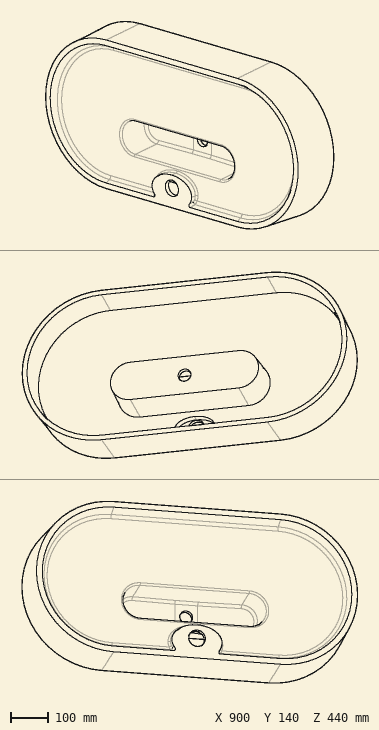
import cadquery as cq
import math

LENGTH = 900.0
HEIGHT = 440.0
DEPTH = 140.0
DRAFT = 3.0
WALL = 13.5
STRAIGHT = LENGTH - HEIGHT

RIM_WIDTH = 16.0
BASIN_WALL_ANGLE = 26.0
FLOOR_TILT = 2.0
FLOOR_DEPTH = 25.0
FLOOR_FILLET = 11.0

EDGE_FILLET = 5.0

WELL_Z = -56.0
WELL_STRAIGHT = 301.0
WELL_HEIGHT = 83.0
WELL_FLOOR_FILLET = 8.0
WELL_FLOOR_SLOPE = 1.8
WELL_FLAT_WIDTH = 63.0
DRAIN_DIAMETER = 35.0

BOSS_Z = -166.0
BOSS_HALF_WIDTH = 69.0
BOSS_HALF_HEIGHT = 47.0
TAP_Z = -157.0
TAP_DIAMETER = 46.0

RIM_INSET = DEPTH * math.tan(math.radians(DRAFT))
BASIN_HEIGHT = HEIGHT - 2 * (RIM_INSET + RIM_WIDTH)
MARGIN = 45.0


def plane_at(distance):
    """Upright plane at a distance in front of the back, facing the front."""
    return cq.Workplane("XZ").workplane(offset=distance)


def oval(distance, height, straight, z=0.0):
    """Oval outline on the plane at distance, with straight top and bottom sides."""
    return plane_at(distance).center(0, z).slot2D(straight + height, height)


def space_before_floor(shift):
    """Block in front of the tilted floor plane, moved back by shift."""
    block = plane_at(0).rect(2 * LENGTH, 2 * LENGTH).extrude(LENGTH)
    block = block.rotate((0, 0, 0), (1, 0, 0), -FLOOR_TILT)
    return block.translate((0, -DEPTH + FLOOR_DEPTH + shift, 0))


def tap_boss(distance, inset, length):
    """Elliptical boss running back from the plane at distance and widening with the draft."""
    return (
        plane_at(distance)
        .center(0, BOSS_Z)
        .ellipse(BOSS_HALF_WIDTH - inset, BOSS_HALF_HEIGHT - inset)
        .extrude(-length, taper=-DRAFT)
    )


def outer_body():
    """Solid oval that narrows toward the rim."""
    return oval(0, HEIGHT, STRAIGHT).extrude(DEPTH, taper=DRAFT)


def basin_space():
    """Space inside the rim, around the boss and down to the tilted floor."""
    space = oval(DEPTH, BASIN_HEIGHT, STRAIGHT).extrude(-2 * FLOOR_DEPTH, taper=BASIN_WALL_ANGLE)
    space = space.intersect(space_before_floor(0))
    space = space.faces(">Y").edges().fillet(FLOOR_FILLET)
    return space.cut(tap_boss(DEPTH, 0, DEPTH / 2))


def well_space():
    """Well with a flat strip at the drain and a floor rising to both ends."""
    half_length = (WELL_STRAIGHT + WELL_HEIGHT) / 2 + MARGIN
    half_flat = WELL_FLAT_WIDTH / 2
    rise = (half_length - half_flat) * math.tan(math.radians(WELL_FLOOR_SLOPE))
    v_floor = (
        cq.Workplane("XY")
        .moveTo(-half_flat, -WALL)
        .lineTo(half_flat, -WALL)
        .lineTo(half_length, -WALL - rise)
        .lineTo(half_length, -DEPTH)
        .lineTo(-half_length, -DEPTH)
        .lineTo(-half_length, -WALL - rise)
        .close()
        .extrude(LENGTH, both=True)
    )
    space = oval(0, WELL_HEIGHT, WELL_STRAIGHT, WELL_Z).extrude(DEPTH, taper=-DRAFT)
    space = space.intersect(v_floor)
    bottom_edges = cq.selectors.BoxSelector(
        (-half_length, -WALL - rise, -HEIGHT), (half_length, 0, HEIGHT)
    )
    creases = cq.selectors.ParallelDirSelector(cq.Vector(0, 0, 1))
    return space.edges(bottom_edges - creases).fillet(WELL_FLOOR_FILLET)


def back_cavity():
    """Hollow behind the basin, leaving the walls, the well housing and the boss."""
    inner_height = HEIGHT - 2 * WALL
    inside = oval(0, inner_height, STRAIGHT).extrude(DEPTH - WALL, taper=DRAFT)
    housing = oval(0, WELL_HEIGHT + 2 * WALL, WELL_STRAIGHT, WELL_Z).extrude(DEPTH, taper=-DRAFT)
    boss_hollow = tap_boss(DEPTH - WALL, WALL, DEPTH / 2).intersect(inside)
    return inside.cut(space_before_floor(WALL)).cut(housing).union(boss_hollow)


def through_hole(z, diameter):
    return plane_at(0).center(0, z).circle(diameter / 2).extrude(DEPTH)


def well_and_boss_edges():
    """Region around the basin floor holding the well rim and the boss foot."""
    half_length = (WELL_STRAIGHT + WELL_HEIGHT) / 2 + MARGIN
    bottom = BOSS_Z - BOSS_HALF_HEIGHT / 4
    top = WELL_Z + WELL_HEIGHT / 2 + MARGIN
    return cq.selectors.BoxSelector(
        (-half_length, -DEPTH + FLOOR_DEPTH / 2, bottom),
        (half_length, -DEPTH + 2 * FLOOR_DEPTH, top),
    )


result = outer_body().cut(basin_space()).cut(well_space())
result = result.edges(well_and_boss_edges()).fillet(EDGE_FILLET)
result = result.cut(back_cavity())
result = result.cut(through_hole(WELL_Z, DRAIN_DIAMETER)).cut(through_hole(TAP_Z, TAP_DIAMETER))